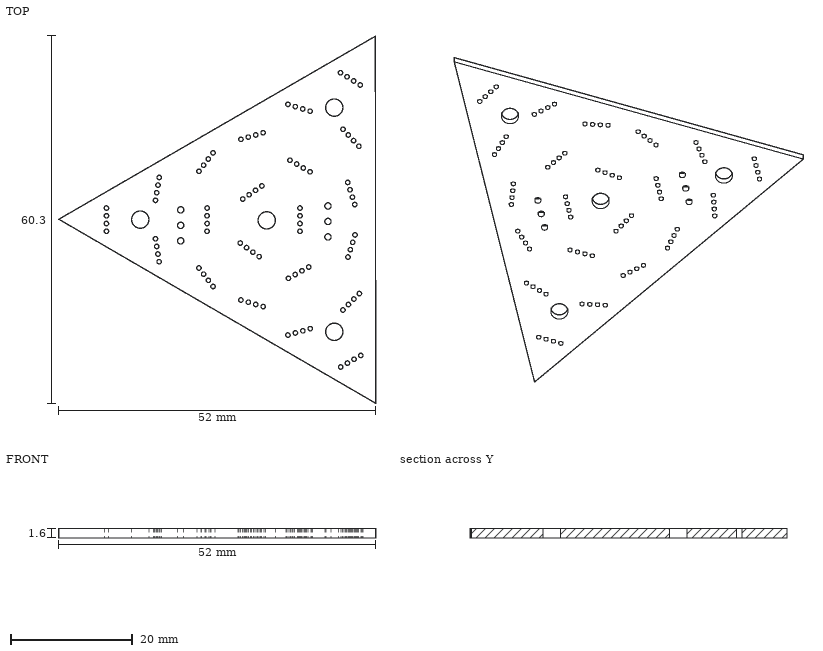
import cadquery as cq
import math

length_x = 52.04
width_y = 60.27
thickness = 1.6
apex_y = 0.09
right_edge_lean = 0.08

mounting_diameter = 2.8
large_pin_diameter = 1.0
small_pin_diameter = 0.7

mounting_points = [(-12.63, 0.03), (19.19, 18.40), (19.19, -18.37), (8.11, -0.09)]

large_pin_count = 3
large_pin_pitch = 2.54
large_column_centers = [(-6.0, -0.92), (18.15, -0.27)]

small_pin_count = 4
small_pin_pitch = 1.27
ring_center = (8.49, 0.02)

outer_corner_rows = [(26.67, 60, -2), (26.67, 180, 0), (26.8, -60, 0)]
inner_corner_rows = [
    (19.0, 75, -2),
    (19.0, 45, -2),
    (19.0, 164.6, 6),
    (19.0, -164.7, -6),
    (19.05, -45, 0),
    (19.05, -75, 1),
]
edge_rows = [
    (14.0, 101.5, 5),
    (14.0, 137.6, 5),
    (14.0, -137.6, -5),
    (14.0, -101.5, -5),
    (14.15, 17.7, 0),
    (14.2, -17.7, 0),
]
middle_rows = [(10.16, 60, 0), (10.16, 180, 0), (9.95, -60.9, 0)]
central_rows = [(5.08, 0, 0), (5.23, 121.6, 3), (5.88, -122.6, -3)]
small_pin_rows = outer_corner_rows + inner_corner_rows + edge_rows + middle_rows + central_rows


def triangular_plate():
    half_x = length_x / 2
    half_y = width_y / 2
    corners = [(-half_x, apex_y), (half_x, -half_y), (half_x - right_edge_lean, half_y)]
    return cq.Workplane("XY").polyline(corners).close().extrude(thickness)


def row_points(center, direction, count, pitch):
    """Evenly spaced points centered on a point, along a direction in degrees."""
    angle = math.radians(direction)
    points = []
    for index in range(count):
        offset = (index - (count - 1) / 2) * pitch
        points.append((center[0] + offset * math.cos(angle), center[1] + offset * math.sin(angle)))
    return points


def ring_point(distance, bearing):
    angle = math.radians(bearing)
    return (ring_center[0] + distance * math.cos(angle), ring_center[1] + distance * math.sin(angle))


def large_pin_points():
    points = []
    for center in large_column_centers:
        points += row_points(center, 90, large_pin_count, large_pin_pitch)
    return points


def small_pin_points():
    points = []
    for distance, bearing, twist in small_pin_rows:
        center = ring_point(distance, bearing)
        points += row_points(center, bearing + 90 + twist, small_pin_count, small_pin_pitch)
    return points


def through_holes(points, diameter):
    return cq.Workplane("XY").pushPoints(points).circle(diameter / 2).extrude(thickness)


result = (
    triangular_plate()
    .cut(through_holes(mounting_points, mounting_diameter))
    .cut(through_holes(large_pin_points(), large_pin_diameter))
    .cut(through_holes(small_pin_points(), small_pin_diameter))
)